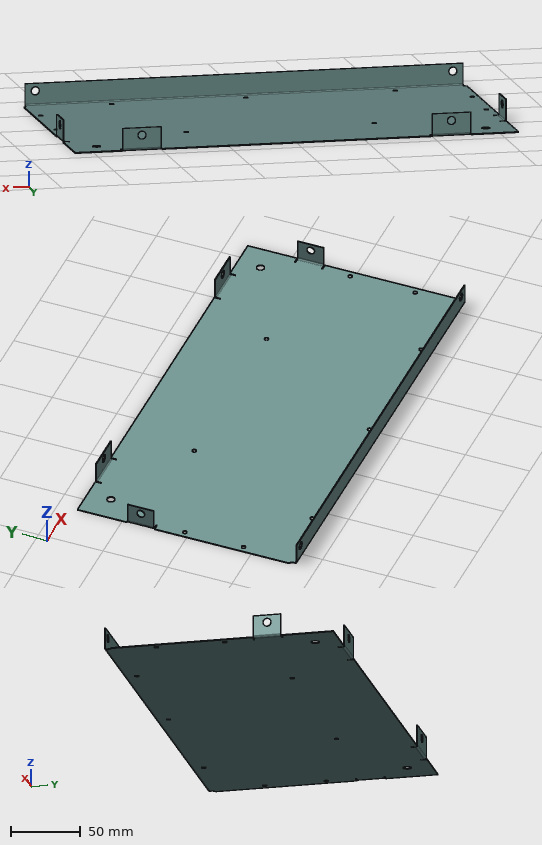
import cadquery as cq

length = 327.0
depth = 169.5
height = 16.7

sheet = 0.8
bend_inner = 0.8
bend_outer = bend_inner + sheet

flange_inset = 2.0
notch_depth = 3.5
flange_length = length - 2 * flange_inset

rear_tab_width = 28.5
rear_tab_x = 114.2
side_tab_width = 20.3
side_tab_y = 35.5
relief_width = 0.5
relief_depth = 4.5

large_hole = 6.0
small_hole = 3.15
wall_hole_z = 11.0
flange_hole_x = 154.0
corner_hole_x = 143.5
corner_hole_y = 66.7
inner_hole_x = 69.5
inner_hole_y = 32.0
edge_hole_x = 158.7
edge_hole_rear_y = 3.3
edge_hole_left_y = -42.2
edge_hole_right_y = -47.0
front_hole_y = -75.5
front_hole_xs = (-109.5, 0.5, 99.8)

half_length = length / 2
half_depth = depth / 2


def bent_wall(width, hole_offsets):
    """Upright wall, bend and short flat foot; outer face on the plane y = 0, foot toward +Y."""
    wall = (
        cq.Workplane("YZ")
        .moveTo(0, height)
        .lineTo(0, bend_outer)
        .radiusArc((bend_outer, 0), -bend_outer)
        .lineTo(relief_depth, 0)
        .lineTo(relief_depth, sheet)
        .lineTo(bend_outer, sheet)
        .radiusArc((sheet, bend_outer), bend_inner)
        .lineTo(sheet, height)
        .close()
        .extrude(width / 2, both=True)
    )
    holes = (
        cq.Workplane("XZ")
        .pushPoints([(offset, wall_hole_z) for offset in hole_offsets])
        .circle(large_hole / 2)
        .extrude(-sheet)
    )
    return wall.cut(holes)


def tab_opening(width):
    """Plate area replaced by a bent tab, including the relief slot at each end."""
    return cq.Workplane("XY").box(
        width + 2 * relief_width, relief_depth, sheet, centered=(True, False, False)
    )


def plate_outline():
    """Flat plate up to the bend of the front flange, with chamfered front corners."""
    front_y = -half_depth + bend_outer
    notch_y = -half_depth + notch_depth
    flange_x = half_length - flange_inset
    return (
        cq.Workplane("XY")
        .moveTo(-half_length, half_depth)
        .lineTo(half_length, half_depth)
        .lineTo(half_length, notch_y + flange_inset)
        .lineTo(flange_x, notch_y)
        .lineTo(flange_x, front_y)
        .lineTo(-flange_x, front_y)
        .lineTo(-flange_x, notch_y)
        .lineTo(-half_length, notch_y + flange_inset)
        .close()
        .extrude(sheet)
    )


def plate_holes(points, diameter):
    """Round cutters through the plate at the given points."""
    return cq.Workplane("XY").pushPoints(points).circle(diameter / 2).extrude(sheet)


tabs = [
    (rear_tab_width, 180, -rear_tab_x, half_depth),
    (rear_tab_width, 180, rear_tab_x, half_depth),
    (side_tab_width, -90, -half_length, side_tab_y),
    (side_tab_width, 90, half_length, side_tab_y),
]

large_hole_points = [(side * corner_hole_x, corner_hole_y) for side in (-1, 1)]
small_hole_points = [(side * inner_hole_x, inner_hole_y) for side in (-1, 1)]
small_hole_points += [(side * edge_hole_x, edge_hole_rear_y) for side in (-1, 1)]
small_hole_points += [(-edge_hole_x, edge_hole_left_y), (edge_hole_x, edge_hole_right_y)]
small_hole_points += [(x, front_hole_y) for x in front_hole_xs]

result = plate_outline()
result = result.cut(plate_holes(large_hole_points, large_hole))
result = result.cut(plate_holes(small_hole_points, small_hole))

flange = bent_wall(flange_length, (-flange_hole_x, flange_hole_x))
result = result.union(flange.translate((0, -half_depth, 0)))

for width, turn, x, y in tabs:
    opening = tab_opening(width).rotate((0, 0, 0), (0, 0, 1), turn).translate((x, y, 0))
    tab = bent_wall(width, (0,)).rotate((0, 0, 0), (0, 0, 1), turn).translate((x, y, 0))
    result = result.cut(opening).union(tab)